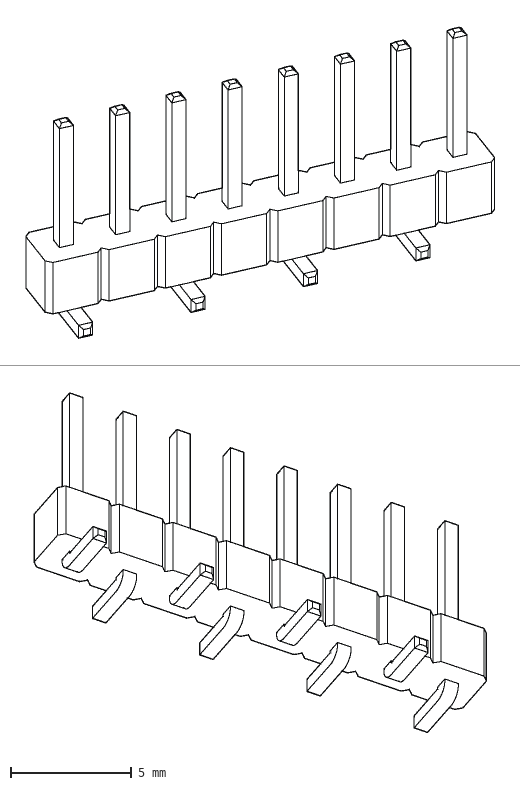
import cadquery as cq

pin_count = 8
pitch = 2.54
body_width = 2.54
body_height = 2.54
corner_chamfer = 0.25
pin_size = 0.64
overall_height = 9.3
foot_span = 5.0
standoff = 0.1
tip_length = 0.15
tip_inset = 0.16

body_bottom = pin_size + standoff
half_pin = pin_size / 2
foot_reach = foot_span / 2
tip_size = pin_size - 2 * tip_inset
bend_radius = pin_size


def position_along_row(index):
    """Y of a pin, counted from the -Y end of the row."""
    return (index - (pin_count - 1) / 2) * pitch


def body_segment(y):
    """One chamfered square block of the housing; neighbours leave V notches between them."""
    return (
        cq.Workplane("XY")
        .box(body_width, pitch, body_height, centered=(True, True, False))
        .edges("|Z")
        .chamfer(corner_chamfer)
        .translate((0, y, body_bottom))
    )


def tapered_tip(plane):
    """Square frustum pointing along the normal of the given plane."""
    return (
        cq.Workplane(plane)
        .rect(pin_size, pin_size)
        .workplane(offset=tip_length)
        .rect(tip_size, tip_size)
        .loft(ruled=True)
    )


def bent_pin():
    """L-shaped pin at Y = 0 with its foot toward +X and both ends tapered."""
    shaft_top = overall_height - tip_length
    foot_end = foot_reach - tip_length
    wire = (
        cq.Workplane("XZ")
        .moveTo(-half_pin, shaft_top)
        .lineTo(-half_pin, bend_radius)
        .radiusArc((bend_radius - half_pin, 0), -bend_radius)
        .lineTo(foot_end, 0)
        .lineTo(foot_end, pin_size)
        .lineTo(half_pin, pin_size)
        .lineTo(half_pin, shaft_top)
        .close()
        .extrude(half_pin, both=True)
    )
    upper_tip = tapered_tip("XY").translate((0, 0, shaft_top))
    foot_tip = tapered_tip("YZ").translate((foot_end, 0, half_pin))
    return wire.union(upper_tip).union(foot_tip)


result = body_segment(position_along_row(0))
for index in range(1, pin_count):
    result = result.union(body_segment(position_along_row(index)))

pin = bent_pin()
for index in range(pin_count):
    turn = 180 * (index % 2)
    placed_pin = pin.rotate((0, 0, 0), (0, 0, 1), turn).translate((0, position_along_row(index), 0))
    result = result.union(placed_pin)

result = result.clean()